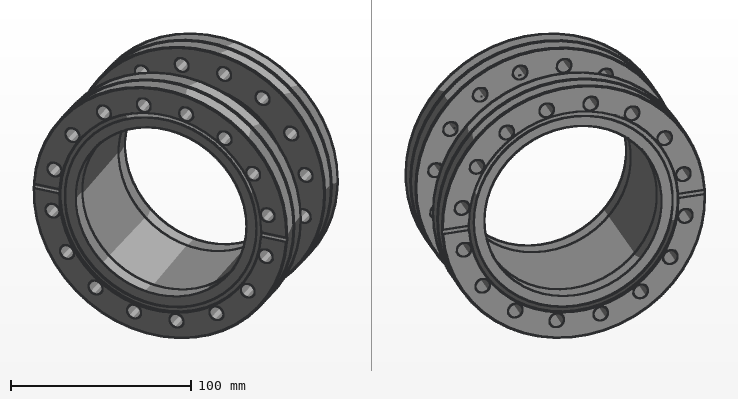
import cadquery as cq

flange_dia = 151.6
overall_length = 76.5
front_y = -overall_length / 2
rear_y = overall_length / 2

ring_thickness = 21.4
fixed_thickness = 19.9
edge_chamfer = 0.5

bore_dia = 102.0
tube_dia = 108.0
socket_dia = 108.2
socket_offset = 11.2
tube_front_y = front_y + socket_offset
tube_rear_y = rear_y - socket_offset

recess_dia = 120.7
insert_dia = 120.4
knife_dia = 114.6
knife_setback = 0.6
knife_height = 1.0
knife_step = 0.8
insert_thickness = 15.2
ring_bore_dia = 110.8
insert_back_y = front_y + insert_thickness

rim_groove_width = 1.0
rim_groove_depth = 0.3

bolt_count = 16
bolt_hole_dia = 8.3
bolt_circle_dia = 130.0
bolt_pitch = 360 / bolt_count
slot_angle = -2.6
slot_width = 2.6
slot_depth = 0.9


def revolve_profile(points):
    """Solid of revolution about Y from a closed list of (radius, y) points."""
    return cq.Workplane("XY").polyline(points).close().revolve(360, (0, 0, 0), (0, 1, 0))


def disc(diameter, start_y, end_y):
    """Cylinder on the Y axis between two stations."""
    return revolve_profile([
        (0, start_y),
        (diameter / 2, start_y),
        (diameter / 2, end_y),
        (0, end_y),
    ])


def flange_blank(start_y, end_y):
    """Chamfered disc with a shallow round groove around the middle of its rim."""
    radius = flange_dia / 2
    mid_y = (start_y + end_y) / 2
    half_groove = rim_groove_width / 2
    profile = (
        cq.Workplane("XY")
        .moveTo(0, start_y)
        .lineTo(radius - edge_chamfer, start_y)
        .lineTo(radius, start_y + edge_chamfer)
        .lineTo(radius, mid_y - half_groove)
        .threePointArc((radius - rim_groove_depth, mid_y), (radius, mid_y + half_groove))
        .lineTo(radius, end_y - edge_chamfer)
        .lineTo(radius - edge_chamfer, end_y)
        .lineTo(0, end_y)
        .close()
    )
    return profile.revolve(360, (0, 0, 0), (0, 1, 0))


def bolt_holes():
    """Through-hole cutters, spaced evenly either side of the leak-check slots."""
    return (
        cq.Workplane("XZ", origin=(0, rear_y, 0))
        .polarArray(bolt_circle_dia / 2, slot_angle + bolt_pitch / 2, 360, bolt_count)
        .circle(bolt_hole_dia / 2)
        .extrude(overall_length)
    )


def leak_slots(face_y, inward):
    """Two opposed round-bottomed radial slots cut into a sealing face."""
    radius = ((slot_width / 2) ** 2 + slot_depth ** 2) / (2 * slot_depth)
    axis_y = face_y + inward * (slot_depth - radius)
    bar = cq.Workplane("YZ").center(axis_y, 0).circle(radius).extrude(flange_dia, both=True)
    core = disc(recess_dia, -overall_length, overall_length)
    return bar.cut(core).rotate((0, 0, 0), (0, 1, 0), -slot_angle)


def knife_recess(face_y, inward, outer_dia):
    """Round cutter whose end leaves a knife-edge cone, stepped down to a flat seat inside."""
    tip_y = face_y + inward * knife_setback
    seat_y = tip_y + inward * knife_step
    floor_y = tip_y + inward * knife_height
    return revolve_profile([
        (0, face_y),
        (outer_dia / 2, face_y),
        (outer_dia / 2, floor_y),
        (knife_dia / 2, tip_y),
        (knife_dia / 2, seat_y),
        (0, seat_y),
    ])


def make_ring():
    """Rotatable front ring, with a stepped bore that holds the insert."""
    back_y = front_y + ring_thickness
    ring = flange_blank(front_y, back_y)
    ring = ring.cut(disc(recess_dia, front_y, insert_back_y))
    ring = ring.cut(disc(ring_bore_dia, insert_back_y, back_y))
    return ring.cut(bolt_holes()).cut(leak_slots(front_y, 1))


def make_insert():
    """Knife-edge insert seated in the ring, socketed for the tube."""
    insert = disc(insert_dia, front_y, insert_back_y)
    insert = insert.cut(knife_recess(front_y, 1, insert_dia))
    insert = insert.cut(disc(bore_dia, front_y, insert_back_y))
    return insert.cut(disc(socket_dia, tube_front_y, insert_back_y))


def make_fixed_flange():
    """Rear flange with its knife edge on the outer face and a tube socket inside."""
    inner_y = rear_y - fixed_thickness
    flange = flange_blank(inner_y, rear_y)
    flange = flange.cut(knife_recess(rear_y, -1, recess_dia))
    flange = flange.cut(disc(bore_dia, inner_y, rear_y))
    flange = flange.cut(disc(socket_dia, inner_y, tube_rear_y))
    return flange.cut(bolt_holes()).cut(leak_slots(rear_y, -1))


def make_tube():
    """Pipe that bottoms in the sockets of the insert and the fixed flange."""
    return disc(tube_dia, tube_front_y, tube_rear_y).cut(disc(bore_dia, tube_front_y, tube_rear_y))


ring = make_ring()
insert = make_insert()
fixed_flange = make_fixed_flange()
tube = make_tube()

result = cq.Compound.makeCompound([ring.val(), insert.val(), fixed_flange.val(), tube.val()])